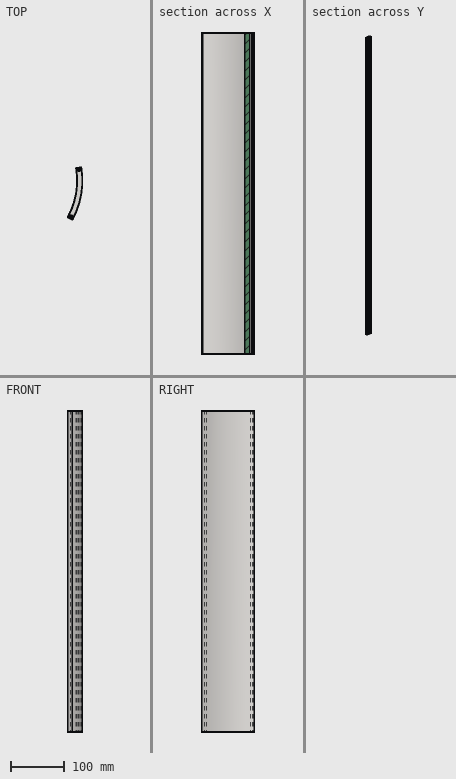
import cadquery as cq
import math

length = 600.0
outer_radius = 150.0
thickness = 10.0
inner_radius = outer_radius - thickness
middle_radius = outer_radius - thickness / 2

upper_angle = 9.8
lower_angle = -29.0

hole_diameter = 3.3
hole_end_distance = 5.0
hole_inset_angle = math.degrees(hole_end_distance / middle_radius)


def polar(radius, angle):
    """Point at the given radius and angle from the arc centre."""
    radians = math.radians(angle)
    return (radius * math.cos(radians), radius * math.sin(radians))


def curved_plate():
    middle_angle = (upper_angle + lower_angle) / 2
    return (
        cq.Workplane("XY")
        .moveTo(*polar(outer_radius, lower_angle))
        .threePointArc(polar(outer_radius, middle_angle), polar(outer_radius, upper_angle))
        .lineTo(*polar(inner_radius, upper_angle))
        .threePointArc(polar(inner_radius, middle_angle), polar(inner_radius, lower_angle))
        .close()
        .extrude(length)
    )


def end_holes():
    hole_angles = (upper_angle - hole_inset_angle, lower_angle + hole_inset_angle)
    centres = [polar(middle_radius, angle) for angle in hole_angles]
    return cq.Workplane("XY").pushPoints(centres).circle(hole_diameter / 2).extrude(length)


result = curved_plate().cut(end_holes())